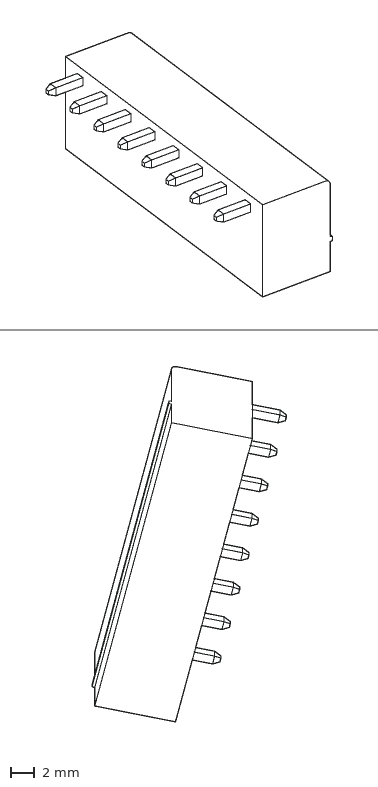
import cadquery as cq

body_length = 28.8
body_depth = 7.0
body_height = 9.2
top_edge_radius = 0.52

ridge_height = 0.23
ridge_center_z = 3.23
ridge_root_width = 0.52
ridge_crest_width = 0.37
ridge_flank_bulge = 0.02

pin_count = 8
pin_row_span = 24.5
pin_pitch = pin_row_span / (pin_count - 1)
pin_width = 0.8
pin_length = 3.4
pin_tip_length = 0.6
pin_tip_width = 0.37
pin_drop = 1.2
pin_z = body_height - pin_drop


def make_housing():
    """Block with the front face on Y = 0 and a rounded top rear edge."""
    block = cq.Workplane("XY").box(body_length, body_depth, body_height, centered=(True, False, False))
    return block.edges(">Y and >Z").fillet(top_edge_radius)


def make_ridge():
    """Bar that runs the full length of the rear face, with slightly bulging flanks."""
    crest_y = body_depth + ridge_height
    flank_y = body_depth + ridge_height / 2
    root_half = ridge_root_width / 2
    crest_half = ridge_crest_width / 2
    flank_half = (root_half + crest_half) / 2 + ridge_flank_bulge
    profile = (
        cq.Workplane("YZ", origin=(0, 0, ridge_center_z))
        .moveTo(body_depth, -root_half)
        .threePointArc((flank_y, -flank_half), (crest_y, -crest_half))
        .lineTo(crest_y, crest_half)
        .threePointArc((flank_y, flank_half), (body_depth, root_half))
        .close()
    )
    return profile.extrude(body_length / 2, both=True)


def make_pin(x):
    """Square pin pointing toward -Y, ending in a pyramid-shaped tip."""
    shank_length = pin_length - pin_tip_length
    shank = cq.Workplane("XZ", origin=(x, 0, pin_z)).rect(pin_width, pin_width).extrude(shank_length)
    tip = (
        cq.Workplane("XZ", origin=(x, -shank_length, pin_z))
        .rect(pin_width, pin_width)
        .workplane(offset=pin_tip_length)
        .rect(pin_tip_width, pin_tip_width)
        .loft()
    )
    return shank.union(tip)


result = make_housing().union(make_ridge())
for index in range(pin_count):
    result = result.union(make_pin(index * pin_pitch - pin_row_span / 2))